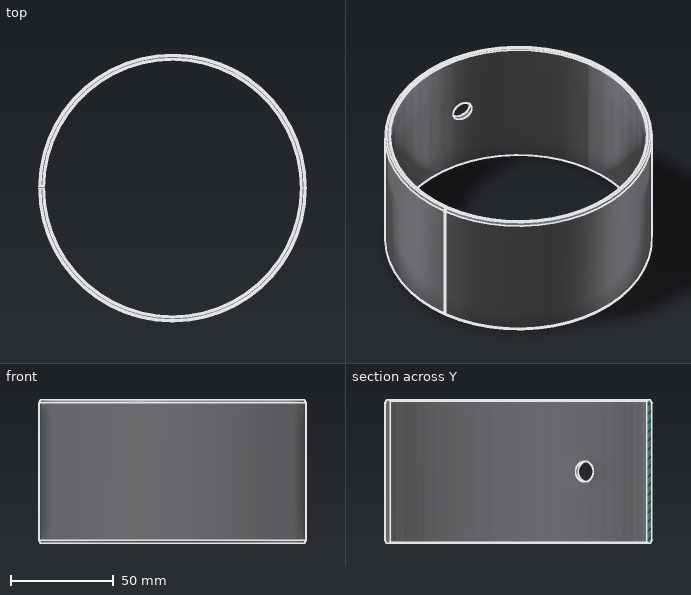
import cadquery as cq
import math

outer_diameter = 130.0
height = 70.0
wall = 2.6
outer_radius = outer_diameter / 2
inner_radius = outer_radius - wall

outer_bevel_width = 0.8
outer_bevel_height = 1.5
inner_bevel = 0.6

slit_width = 0.9

hole_diameter = 10.0
hole_angle = 59.0


def make_sleeve():
    """Revolve the bevelled wall section around Z, centred on the origin."""
    half_height = height / 2
    outer_rim = outer_radius - outer_bevel_width
    inner_rim = inner_radius + inner_bevel
    outer_shoulder = half_height - outer_bevel_height
    inner_shoulder = half_height - inner_bevel
    section = cq.Workplane("XZ").polyline([
        (inner_radius, -inner_shoulder),
        (inner_rim, -half_height),
        (outer_rim, -half_height),
        (outer_radius, -outer_shoulder),
        (outer_radius, outer_shoulder),
        (outer_rim, half_height),
        (inner_rim, half_height),
        (inner_radius, inner_shoulder),
    ]).close()
    return section.revolve(360, (0, 0), (0, 1))


def make_slit():
    """Full-height cutter reaching from the axis past the -X side."""
    cutter = cq.Workplane("XY").box(outer_diameter, slit_width, height, centered=(True, False, True))
    return cutter.translate((-outer_radius, 0, 0))


def make_hole():
    """Cylinder running outward from the axis through one side of the wall."""
    angle = math.radians(hole_angle)
    centre = cq.Vector(0, 0, 0)
    outward = cq.Vector(math.cos(angle), math.sin(angle), 0)
    return cq.Solid.makeCylinder(hole_diameter / 2, outer_diameter, centre, outward)


result = make_sleeve().cut(make_slit()).cut(make_hole())